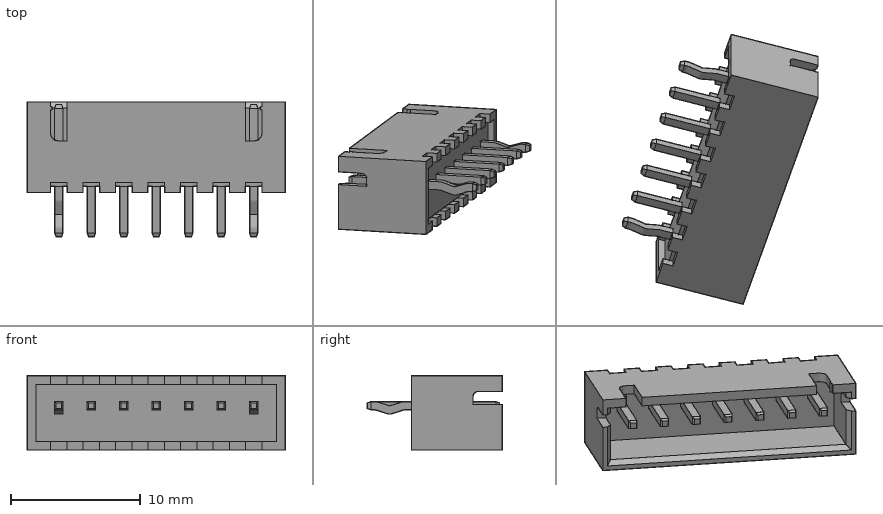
import cadquery as cq
import math


housing_width = 19.9
housing_depth = 7.0
housing_height = 5.75

contact_count = 7
row_length = 15.0
contact_size = 0.64
contact_height = 3.42
tail_length = 3.4
mouth_setback = 0.2
tip_length = 0.3
tip_size = 0.44

kink_start = 0.54
kink_bottom = 1.67
kink_angle = 17.5

recess_wall = 0.68
recess_depth = 0.5
notch_width = 1.27
notch_depth = 0.8

cavity_wall = 0.7
cavity_depth = 5.0
mouth_chamfer_length = 0.48
mouth_chamfer_width = 0.34

top_slot_width = 1.27
top_slot_length = 3.0
top_slot_radius = 0.6
nub_radius = 0.14
nub_setback = 0.5

side_slot_top = 1.23
side_slot_height = 1.0
side_slot_length = 2.25
side_slot_radius = 0.4

contact_pitch = row_length / (contact_count - 1)
contact_places = [i * contact_pitch - row_length / 2 for i in range(contact_count)]
end_places = (contact_places[0], contact_places[-1])
contact_end = housing_depth - mouth_setback
cavity_start = housing_depth - cavity_depth


def box(x_range, y_range, z_range):
    """Box between two limits along each axis."""
    (x0, x1), (y0, y1), (z0, z1) = x_range, y_range, z_range
    return cq.Workplane("XY").box(x1 - x0, y1 - y0, z1 - z0, centered=False).translate((x0, y0, z0))


def contact_bore(x):
    """Square hole through the housing floor that one contact fills."""
    half = contact_size / 2
    return box(
        (x - half, x + half),
        (0, housing_depth),
        (contact_height - half, contact_height + half),
    )


def edge_notch(x):
    """Notch across the top and bottom rims of the recess, in line with one contact."""
    sides = (x - notch_width / 2, x + notch_width / 2)
    lower = box(sides, (0, notch_depth), (0, recess_wall))
    upper = box(sides, (0, notch_depth), (housing_height - recess_wall, housing_height))
    return lower.union(upper)


def solder_recess():
    """Shallow rectangular recess on the solder side."""
    half_width = housing_width / 2 - recess_wall
    return box((-half_width, half_width), (0, recess_depth), (recess_wall, housing_height - recess_wall))


def mating_cavity():
    """Cavity open toward +Y, its mouth flared at the bottom and the two sides."""
    half_width = housing_width / 2 - cavity_wall
    ceiling = housing_height - cavity_wall
    cavity = box((-half_width, half_width), (cavity_start, housing_depth), (cavity_wall, ceiling))

    def mouth_rectangle(flare):
        return [
            (-half_width - flare, cavity_wall - flare),
            (half_width + flare, cavity_wall - flare),
            (half_width + flare, ceiling),
            (-half_width - flare, ceiling),
        ]

    flare = (
        cq.Workplane("XZ", origin=(0, housing_depth - mouth_chamfer_length, 0))
        .polyline(mouth_rectangle(0)).close()
        .workplane(offset=-mouth_chamfer_length)
        .polyline(mouth_rectangle(mouth_chamfer_width)).close()
        .loft(ruled=True)
    )
    return cavity.union(flare)


def top_slot(x):
    """Slot through the top wall, rounded at its outer corner and with a nub on its outer side."""
    outward = math.copysign(1, x)
    outer = x + outward * top_slot_width / 2
    inner = x - outward * top_slot_width / 2
    end = housing_depth - top_slot_length
    corner = top_slot_radius * (1 - math.sqrt(0.5))
    nub_y = housing_depth - nub_setback
    return (
        cq.Workplane("XY", origin=(0, 0, contact_height))
        .moveTo(inner, housing_depth)
        .lineTo(inner, end)
        .lineTo(outer - outward * top_slot_radius, end)
        .threePointArc((outer - outward * corner, end + corner), (outer, end + top_slot_radius))
        .lineTo(outer, nub_y - nub_radius)
        .threePointArc((outer - outward * nub_radius, nub_y), (outer, nub_y + nub_radius))
        .lineTo(outer, housing_depth)
        .close()
        .extrude(housing_height - contact_height)
    )


def side_slots():
    """One straight cut that opens both side walls, rounded at the upper blind corner."""
    top = housing_height - side_slot_top
    slot = box(
        (-housing_width / 2, housing_width / 2),
        (housing_depth - side_slot_length, housing_depth),
        (top - side_slot_height, top),
    )
    return slot.edges("|X and <Y and >Z").fillet(side_slot_radius)


def make_housing():
    housing = box((-housing_width / 2, housing_width / 2), (0, housing_depth), (0, housing_height))
    housing = housing.cut(solder_recess()).cut(mating_cavity()).cut(side_slots())
    for x in end_places:
        housing = housing.cut(top_slot(x))
    for x in contact_places:
        housing = housing.cut(edge_notch(x)).cut(contact_bore(x))
    return housing


def contact_tip(x, base_y, tip_y):
    """Tapered square end of a contact."""
    return (
        cq.Workplane("XZ", origin=(x, base_y, contact_height))
        .rect(contact_size, contact_size)
        .workplane(offset=base_y - tip_y)
        .rect(tip_size, tip_size)
        .loft(ruled=True)
    )


def straight_shank():
    """Side profile of a straight contact between its two tips, in the YZ plane."""
    start = tip_length - tail_length
    end = contact_end - tip_length
    return (
        cq.Workplane("YZ")
        .center((start + end) / 2, contact_height)
        .rect(end - start, contact_size)
    )


def kinked_shank():
    """Side profile of an end contact: the tail dips and rises, each bend sharp on its inside."""
    bend = math.radians(kink_angle)
    top = contact_height + contact_size / 2
    bottom = contact_height - contact_size / 2
    run = kink_bottom - kink_start
    ramp_y = contact_size * math.sin(bend)
    ramp_z = contact_size * math.cos(bend)
    half_y = contact_size * math.sin(bend / 2)
    half_z = contact_size * math.cos(bend / 2)
    valley = bottom + ramp_z - (run - ramp_y) * math.tan(bend)

    near = -kink_start
    middle = -kink_bottom
    far = middle - run
    return (
        cq.Workplane("YZ")
        .moveTo(contact_end - tip_length, bottom)
        .lineTo(contact_end - tip_length, top)
        .lineTo(near, top)
        .threePointArc((near - half_y, bottom + half_z), (near - ramp_y, bottom + ramp_z))
        .lineTo(middle, valley)
        .lineTo(far + ramp_y, bottom + ramp_z)
        .threePointArc((far + half_y, bottom + half_z), (far, top))
        .lineTo(tip_length - tail_length, top)
        .lineTo(tip_length - tail_length, bottom)
        .lineTo(far, bottom)
        .lineTo(middle - ramp_y, valley - ramp_z)
        .threePointArc((middle, valley - contact_size), (middle + ramp_y, valley - ramp_z))
        .lineTo(near, bottom)
        .close()
    )


def make_contact(x, profile):
    shank = profile.extrude(contact_size / 2, both=True).translate((x, 0, 0))
    mating_tip = contact_tip(x, contact_end - tip_length, contact_end)
    solder_tip = contact_tip(x, tip_length - tail_length, -tail_length)
    return shank.union(mating_tip).union(solder_tip)


housing = make_housing()
contacts = []
for place in contact_places:
    shank_profile = kinked_shank() if place in end_places else straight_shank()
    contacts.append(make_contact(place, shank_profile))

result = cq.Compound.makeCompound([housing.val(), *[contact.val() for contact in contacts]])